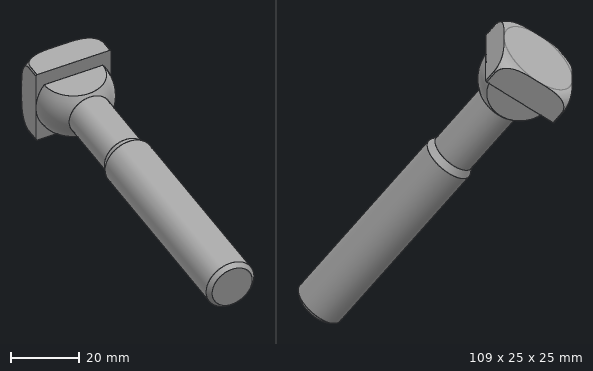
import cadquery as cq

length = 109.0

head_width = 25.0
head_thickness = 9.0
corner_round = 4.9
disc_radius = head_width / 2 + corner_round

ball_radius = 12.4
ball_height = 15.5

neck_radius = 6.9
neck_end = 41.6
thread_radius = 8.0
thread_start = 44.0
end_chamfer = 1.3


def make_head():
    square = cq.Workplane("YZ").rect(head_width, head_width).extrude(head_thickness)
    disc = cq.Workplane("YZ").circle(disc_radius).extrude(head_thickness)
    disc = disc.faces("<X").edges().fillet(corner_round)
    return square.intersect(disc)


def make_ball():
    ball = cq.Workplane("XY").sphere(ball_radius)
    keep = cq.Workplane("XY").box(
        ball_radius, 2 * ball_radius, ball_height, centered=(False, True, True)
    )
    return ball.intersect(keep).translate((head_thickness, 0, 0))


def make_shank():
    return (
        cq.Workplane("XY")
        .moveTo(head_thickness, 0)
        .lineTo(head_thickness, neck_radius)
        .lineTo(neck_end, neck_radius)
        .lineTo(thread_start, thread_radius)
        .lineTo(length - end_chamfer, thread_radius)
        .lineTo(length, thread_radius - end_chamfer)
        .lineTo(length, 0)
        .close()
        .revolve(360, (0, 0, 0), (1, 0, 0))
    )


result = make_head().union(make_ball()).union(make_shank())